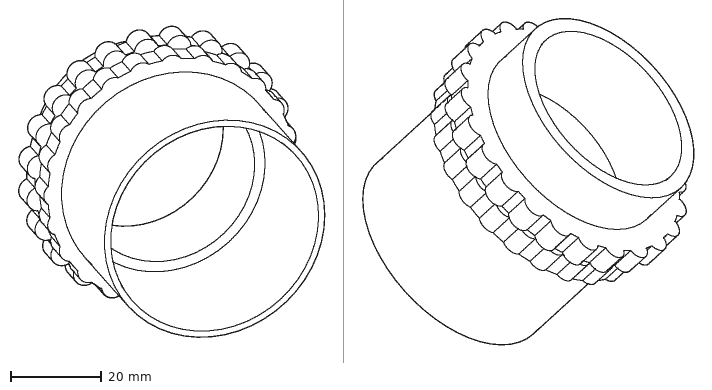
import cadquery as cq
total_length = 56.0
bore_diameter = 41.0
spigot_diameter = 47.8
barrel_diameter = 51.5
collar_start = 19.6
collar_width = 6.1
collar_root_diameter = 57.8
collar_tip_diameter = 59.8

socket_floor = 22.3
socket_floor_diameter = 45.8
socket_mouth_diameter = 48.5

ring_start = 12.65
ring_width = 5.9
ring_root_diameter = 59.1
ring_tip_diameter = 63.3
ring_turn = 0.5

lobe_count = 24
lobe_radius = 2.8


def cylinder(start, length, diameter):
    """Solid cylinder along X."""
    return cq.Workplane("YZ", origin=(start, 0, 0)).circle(diameter / 2).extrude(length)


def knurled_disc(start, width, root_diameter, tip_diameter, first_lobe_angle):
    """Disc along X with round lobes around its rim."""
    disc = cylinder(start, width, root_diameter)
    lobe_centre_radius = tip_diameter / 2 - lobe_radius
    lobes = (
        cq.Workplane("YZ", origin=(start, 0, 0))
        .polarArray(lobe_centre_radius, first_lobe_angle, 360, lobe_count)
        .circle(lobe_radius)
        .extrude(width, combine=False)
    )
    return disc.union(lobes)


def tapered_socket():
    """Cone along X that widens from the socket floor to the barrel mouth."""
    cone = cq.Solid.makeCone(
        socket_floor_diameter / 2,
        socket_mouth_diameter / 2,
        total_length - socket_floor,
        pnt=cq.Vector(socket_floor, 0, 0),
        dir=cq.Vector(1, 0, 0),
    )
    return cq.Workplane(obj=cone)


def make_sleeve():
    collar_end = collar_start + collar_width
    spigot = cylinder(0, collar_start, spigot_diameter)
    collar = knurled_disc(collar_start, collar_width, collar_root_diameter, collar_tip_diameter, 0)
    barrel = cylinder(collar_end, total_length - collar_end, barrel_diameter)
    bore = cylinder(0, socket_floor, bore_diameter)
    return spigot.union(collar).union(barrel).cut(bore).cut(tapered_socket())


def make_ring():
    """Knurled ring that fits closely around the spigot."""
    lobe_pitch = 360 / lobe_count
    first_lobe_angle = lobe_pitch / 2 - ring_turn
    disc = knurled_disc(ring_start, ring_width, ring_root_diameter, ring_tip_diameter, first_lobe_angle)
    return disc.cut(cylinder(ring_start, ring_width, spigot_diameter))


sleeve = make_sleeve()
ring = make_ring()

result = cq.Compound.makeCompound([sleeve.val(), ring.val()])